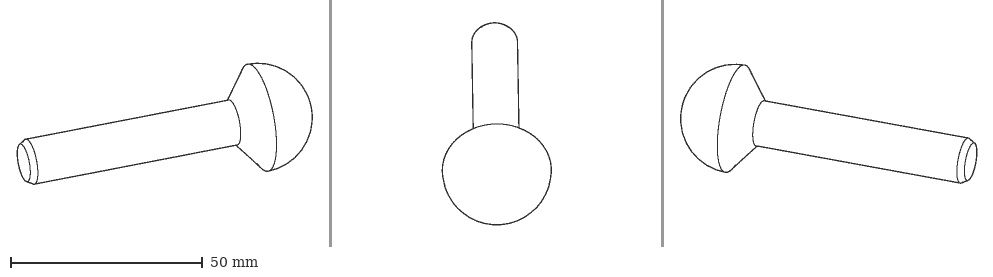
import cadquery as cq
import math

head_radius = 14.25
shank_radius = 6.0
length_below_dome = 65.0
underside_angle = 40.0
tip_radius = 5.0
tip_angle = 30.0

underside_height = (head_radius - shank_radius) * math.tan(math.radians(underside_angle))
chamfer_length = (shank_radius - tip_radius) / math.tan(math.radians(tip_angle))
tip_y = -length_below_dome
chamfer_y = tip_y + chamfer_length
dome_mid = head_radius * math.sqrt(0.5)


def make_pin():
    """Revolve the half profile of dome, underside cone, shank and chamfered tip."""
    profile = (
        cq.Workplane("XY")
        .moveTo(0, tip_y)
        .lineTo(tip_radius, tip_y)
        .lineTo(shank_radius, chamfer_y)
        .lineTo(shank_radius, -underside_height)
        .lineTo(head_radius, 0)
        .threePointArc((dome_mid, dome_mid), (0, head_radius))
        .close()
    )
    return profile.revolve(360, (0, 0, 0), (0, 1, 0))


result = make_pin()